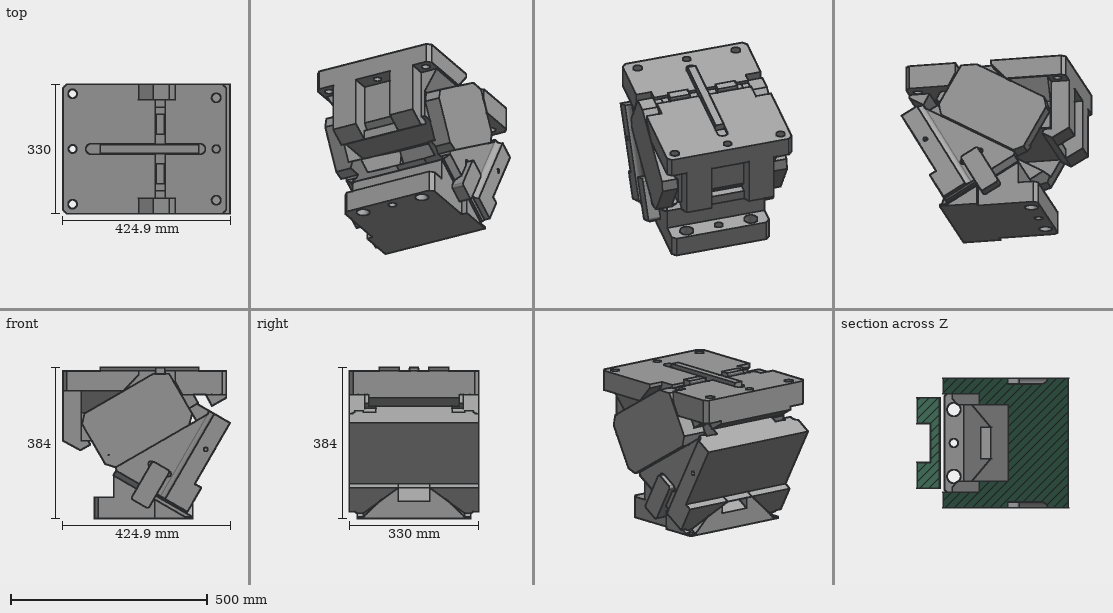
import cadquery as cq
import math

SLANT = math.radians(30)
COS = math.cos(SLANT)
SIN = math.sin(SLANT)
HALF_WIDTH = 330.0 / 2
REACH = 849.2
TIP = (133.8, 0, 130.0)

RISING = cq.Plane(origin=TIP, xDir=(COS, 0, SIN), normal=(0, -1, 0))
FALLING = cq.Plane(origin=TIP, xDir=(COS, 0, -SIN), normal=(0, -1, 0))
FALLING_SECTION = cq.Plane(origin=TIP, xDir=(0, 1, 0), normal=(COS, 0, -SIN))

PLATE_LENGTH = 415.0
PLATE_TOP = 375.0
LEFT_BOTTOM = 324.0
RIGHT_BOTTOM = 314.5
CORNER_CHAMFER = 10.0
NOTCH_LEFT = 192.5
NOTCH_RIGHT = 285.0
LEFT_SLOPE_START = 153.3
LEFT_SLOPE_TOP = 365.0
RIGHT_SLOPE_START = 303.0
RIGHT_SLOPE_TOP = 348.0
WEB_HALF = 125.0
WEB_LEFT = 46.3
WEB_BOTTOM = 197.5
WEB_END = 263.5
FLARE_HALF = 159.2
FLARE_BOTTOM = 268.5
LEG_INNER = 49.3
LEG_OUTER = 115.0
LEG_POINT = (44.0, 173.2)
LEG_HEEL = (70.0, 187.5)
LEG_BACK = 65.0
BEVEL_RUN = 21.2
BEVEL_TOP = 221.0
HOOK_LEFT = 362.5
HOOK_POINT = (378.5, 285.8)
HOOK_RIGHT_BOTTOM = 306.5
SLOT_X = 247.0
SLOT_WIDTH = 26.5
SLOT_DEPTH = 7.2
SLOT_END_HALF = 106.0
SLOT_END_DEPTH = 8.0
LONG_SLOT_LEFT = 58.0
LONG_SLOT_RIGHT = 361.8
KEY_TOP = 384.0
KEY_WIDTH = 23.8
KEY_BEVEL = 4.2
KEY_BEVEL_RUN = 1.3
LONG_KEY_LEFT = 94.5
LONG_KEY_RIGHT = 345.0
CROSS_KEY_LENGTH = 52.0
CROSS_KEY_Y = 63.0
LEFT_HOLES = ((140.0, 22.0), (0, 20.0), (-140.0, 22.0))
LEFT_HOLE_X = 24.5
RIGHT_HOLES = ((130.0, 23.0), (0, 20.0), (-130.0, 23.0))
RIGHT_HOLE_X = 389.5
PLATE_HOLE_DEPTH = PLATE_TOP - RIGHT_BOTTOM

CHEEK_HEIGHT = 158.0
CHEEK_LEFT = -18.5
CHEEK_RIGHT = 236.5
CHEEK_CHAMFER = 20.5
CHEEK_TOP_RUN = 35.0
FLANGE_INNER = 97.0
FLANGE_HEIGHT = 36.5
SLIDE_HALF = 150.5
SLIDE_TOP = 243.5
MOUNT_FACE = 195.5
FOOT_FACE = 214.5
FOOT_TOP = 64.5
BLOCK_LEFT = 149.0
BLOCK_BOTTOM = -6.5
TIP_CUT = 5.0
SKIRT_BOTTOM = -20.5
SKIRT_BEVEL_RUN = 16.0
SIDE_HOLE = (175.5, 154.0)
SIDE_HOLE_DIAMETER = 10.0
SIDE_HOLE_DEPTH = 17.0
RETAINER_WIDTH = 51.0
RETAINER_LENGTH = 110.5
RETAINER_CENTRE = (99.0, 6.0)
RETAINER_INNER = 133.5
RETAINER_FILLET = 6.5
RELIEF_RADIUS = 7.0
RELIEF_DROP = 8.5
RELIEF_DEPTH = 12.7

DRIVER_HALF = 129.0
DRIVER_LEFT = 80.0
DRIVER_RIGHT = 330.0
LEDGE_TOP = 54.5
LEDGE_RIGHT = 128.5
DRIVER_CUT = -15.3
EAVE = -11.0
RIDGE_HALF = 40.0
ROOF_ANGLE = math.radians(40)
RIDGE = EAVE + (DRIVER_HALF - RIDGE_HALF) * math.tan(ROOF_ANGLE)
GROOVE_FLOOR = 23.5
WING_HALF = 144.5
WING_LEFT = 233.5
WING_TOP = 48.5
TOE_HEIGHT = 4.2
BOLT_Y = 85.0
BOLT_X = 104.0
BOLT_DIAMETER = 34.0
DOWEL_DIAMETER = 21.2


def prism(plane, points, y_from, y_to):
    """Outline drawn in a plane facing -Y, filled from y_from to y_to."""
    return cq.Workplane(plane).workplane(offset=-y_to).polyline(points).close().extrude(y_to - y_from)


def both_sides(plane, points, inner, outer):
    """The same prism on the -Y and +Y sides."""
    return prism(plane, points, inner, outer).union(prism(plane, points, -outer, -inner))


def upper_half(plane, level):
    """Everything above a level of one of the slanted frames."""
    points = [(-REACH, level), (REACH, level), (REACH, REACH), (-REACH, REACH)]
    return prism(plane, points, -REACH, REACH)


def lower_half(plane, level):
    """Everything below a level of one of the slanted frames."""
    points = [(-REACH, level), (REACH, level), (REACH, -REACH), (-REACH, -REACH)]
    return prism(plane, points, -REACH, REACH)


def make_plate():
    """Left and right plate parts with the gap for the slide between them."""
    left = [
        (0, LEFT_BOTTOM), (LEFT_SLOPE_START, LEFT_BOTTOM), (NOTCH_LEFT, LEFT_SLOPE_TOP),
        (NOTCH_LEFT, PLATE_TOP), (0, PLATE_TOP),
    ]
    right = [
        (NOTCH_RIGHT, PLATE_TOP), (NOTCH_RIGHT, RIGHT_SLOPE_TOP), (RIGHT_SLOPE_START, RIGHT_BOTTOM),
        (PLATE_LENGTH, RIGHT_BOTTOM), (PLATE_LENGTH, PLATE_TOP),
    ]
    left_part = prism("XZ", left, -HALF_WIDTH, HALF_WIDTH).edges("|Z and <X").chamfer(CORNER_CHAMFER)
    right_part = prism("XZ", right, -HALF_WIDTH, HALF_WIDTH).edges("|Z and >X").chamfer(CORNER_CHAMFER)
    return left_part.union(right_part)


def make_web():
    """Web that carries the plate and rests on the ledges of the slide."""
    outline = [
        (WEB_LEFT, WEB_BOTTOM), (PLATE_LENGTH, WEB_BOTTOM),
        (PLATE_LENGTH, PLATE_TOP), (WEB_LEFT, PLATE_TOP),
    ]
    end = [(-REACH, FLANGE_HEIGHT), (WEB_END, FLANGE_HEIGHT), (WEB_END, REACH), (-REACH, REACH)]
    web = prism("XZ", outline, -WEB_HALF, WEB_HALF)
    return web.intersect(prism(RISING, end, -REACH, REACH))


def make_flares():
    """Sloping gussets from the plate down to the web, clear of the cheeks."""
    section = [
        (-FLARE_HALF, LEFT_BOTTOM), (-WEB_HALF, FLARE_BOTTOM),
        (WEB_HALF, FLARE_BOTTOM), (FLARE_HALF, LEFT_BOTTOM),
    ]
    start = cq.Workplane("YZ").workplane(offset=WEB_LEFT)
    flares = start.polyline(section).close().extrude(LEFT_SLOPE_START - WEB_LEFT)
    return flares.intersect(upper_half(RISING, CHEEK_HEIGHT))


def make_legs():
    """Two pointed legs under the left end of the plate."""
    leg = [
        (0, LEFT_BOTTOM), (0, WEB_BOTTOM), LEG_POINT, LEG_HEEL,
        (LEG_BACK, WEB_BOTTOM), (LEG_BACK, LEFT_BOTTOM),
    ]
    return both_sides("XZ", leg, LEG_INNER, LEG_OUTER)


def make_bridge():
    """Low bar that joins the two legs."""
    bridge = [(LEG_POINT[0], WEB_BOTTOM), LEG_POINT, LEG_HEEL, (LEG_BACK, WEB_BOTTOM)]
    return prism("XZ", bridge, -LEG_OUTER, LEG_OUTER)


def make_undercut():
    """Bevel along the lower front edge of the web, between the legs."""
    bevel = [(WEB_LEFT, BEVEL_TOP), (WEB_LEFT, WEB_BOTTOM), (WEB_LEFT + BEVEL_RUN, WEB_BOTTOM)]
    return prism("XZ", bevel, -LEG_INNER, LEG_INNER)


def make_hook():
    """Pointed stop under the right end of the plate."""
    hook = [
        (HOOK_LEFT, RIGHT_BOTTOM), HOOK_POINT,
        (PLATE_LENGTH, HOOK_RIGHT_BOTTOM), (PLATE_LENGTH, RIGHT_BOTTOM),
    ]
    return prism("XZ", hook, -LEG_OUTER, LEG_OUTER)


def make_key(length_x, length_y, bottom):
    """Bar with its long top edges bevelled, centred on the Z axis."""
    key = cq.Workplane("XY").workplane(offset=bottom).rect(length_x, length_y).extrude(KEY_TOP - bottom)
    long_edges = "|X" if length_x > length_y else "|Y"
    return key.faces(">Z").edges(long_edges).chamfer(KEY_BEVEL, KEY_BEVEL_RUN)


def make_key_slots():
    """Crossed key slots in the plate top; the cross slot deepens near its ends."""
    top = cq.Workplane("XY").workplane(offset=PLATE_TOP)
    slots = top.center(SLOT_X, 0).rect(SLOT_WIDTH, 2 * HALF_WIDTH).extrude(-SLOT_DEPTH)
    end_length = WEB_HALF - SLOT_END_HALF
    for side in (-1, 1):
        end_y = side * (SLOT_END_HALF + end_length / 2)
        slots = slots.union(top.center(SLOT_X, end_y).rect(SLOT_WIDTH, end_length).extrude(-SLOT_END_DEPTH))
    middle = (LONG_SLOT_LEFT + LONG_SLOT_RIGHT) / 2
    long_slot = top.center(middle, 0).slot2D(LONG_SLOT_RIGHT - LONG_SLOT_LEFT, SLOT_WIDTH)
    return slots.union(long_slot.extrude(-SLOT_DEPTH))


def make_keys():
    """One long key along X and two short keys along Y, standing on the slot floor."""
    slot_floor = PLATE_TOP - SLOT_DEPTH
    long_key = make_key(LONG_KEY_RIGHT - LONG_KEY_LEFT, KEY_WIDTH, slot_floor)
    keys = long_key.translate(((LONG_KEY_LEFT + LONG_KEY_RIGHT) / 2, 0, 0))
    for side in (-1, 1):
        cross_key = make_key(KEY_WIDTH, CROSS_KEY_LENGTH, slot_floor)
        keys = keys.union(cross_key.translate((SLOT_X, side * CROSS_KEY_Y, 0)))
    return keys


def make_plate_holes():
    """Three holes along each end of the plate."""
    top = cq.Workplane("XY").workplane(offset=PLATE_TOP)
    cutters = cq.Workplane("XY")
    for hole_x, holes in ((LEFT_HOLE_X, LEFT_HOLES), (RIGHT_HOLE_X, RIGHT_HOLES)):
        for hole_y, diameter in holes:
            cutters = cutters.add(top.center(hole_x, hole_y).circle(diameter / 2).extrude(-PLATE_HOLE_DEPTH))
    return cutters.combine()


def make_holder():
    body = make_plate().union(make_web()).union(make_flares()).cut(make_undercut())
    body = body.union(make_legs()).union(make_bridge()).union(make_hook())
    return body.cut(make_key_slots()).union(make_keys()).cut(make_plate_holes())


def along_slope(section):
    """Cross-section of the falling frame swept along the whole slope."""
    start = cq.Workplane(FALLING_SECTION).workplane(offset=-REACH)
    return start.polyline(section).close().extrude(2 * REACH)


def make_roof():
    """V roof with a flat ridge and straight walls under the eaves."""
    section = [
        (-DRIVER_HALF, -REACH), (DRIVER_HALF, -REACH), (DRIVER_HALF, EAVE), (RIDGE_HALF, RIDGE),
        (-RIDGE_HALF, RIDGE), (-DRIVER_HALF, EAVE),
    ]
    return along_slope(section)


def make_driver():
    """Base with a bolting ledge, V roof, ridge groove and low side wings."""
    outline = [
        (DRIVER_LEFT, 0), (DRIVER_RIGHT, 0), (DRIVER_RIGHT, PLATE_TOP),
        (LEDGE_RIGHT, PLATE_TOP), (LEDGE_RIGHT, LEDGE_TOP), (DRIVER_LEFT, LEDGE_TOP),
    ]
    driver = prism("XZ", outline, -DRIVER_HALF, DRIVER_HALF).edges("|Z and <X").chamfer(CORNER_CHAMFER)
    driver = driver.intersect(make_roof()).intersect(lower_half(RISING, DRIVER_CUT))

    groove = [
        (-RIDGE_HALF, GROOVE_FLOOR), (RIDGE_HALF, GROOVE_FLOOR), (RIDGE_HALF, REACH), (-RIDGE_HALF, REACH),
    ]
    driver = driver.cut(along_slope(groove))

    toe_left = WING_LEFT + (WING_TOP - TOE_HEIGHT) / math.tan(SLANT)
    wing = [
        (WING_LEFT, 0), (DRIVER_RIGHT, 0), (DRIVER_RIGHT, TOE_HEIGHT), (toe_left, TOE_HEIGHT),
        (WING_LEFT, WING_TOP),
    ]
    driver = driver.union(prism("XZ", wing, -WING_HALF, WING_HALF))

    for hole_y, diameter in ((-BOLT_Y, BOLT_DIAMETER), (0, DOWEL_DIAMETER), (BOLT_Y, BOLT_DIAMETER)):
        driver = driver.cut(cq.Workplane("XY").center(BOLT_X, hole_y).circle(diameter / 2).extrude(LEDGE_TOP))
    return driver


def make_core():
    """Wedge between the rising and the falling direction, bevelled along its lower sides."""
    rise = math.tan(2 * SLANT)
    skirt_end = RETAINER_CENTRE[0]
    outline = [
        (TIP_CUT, SKIRT_BOTTOM), (TIP_CUT, -TIP_CUT), (0, 0), (SLIDE_TOP / rise, SLIDE_TOP),
        (MOUNT_FACE, SLIDE_TOP), (MOUNT_FACE, FOOT_TOP), (FOOT_FACE, FOOT_TOP), (FOOT_FACE, EAVE),
        (skirt_end, EAVE), (skirt_end, SKIRT_BOTTOM),
    ]
    core = prism(FALLING, outline, -SLIDE_HALF, SLIDE_HALF)
    inner = SLIDE_HALF - SKIRT_BEVEL_RUN
    section = [
        (-inner, SKIRT_BOTTOM), (inner, SKIRT_BOTTOM), (SLIDE_HALF, BLOCK_BOTTOM), (SLIDE_HALF, REACH),
        (-SLIDE_HALF, REACH), (-SLIDE_HALF, BLOCK_BOTTOM),
    ]
    return core.intersect(along_slope(section))


def make_block(side):
    """Thicker strip behind the mounting face, blended into the core by a hollow round."""
    radius = HALF_WIDTH - SLIDE_HALF
    outline = [
        (BLOCK_LEFT - radius, BLOCK_BOTTOM), (BLOCK_LEFT - radius, SLIDE_TOP), (MOUNT_FACE, SLIDE_TOP),
        (MOUNT_FACE, FOOT_TOP), (FOOT_FACE, FOOT_TOP), (FOOT_FACE, BLOCK_BOTTOM),
    ]
    low, high = sorted((side * DRIVER_HALF, side * HALF_WIDTH))
    block = prism(FALLING, outline, low, high)
    round_start = FALLING.toWorldCoords((BLOCK_LEFT - radius, -REACH, -side * HALF_WIDTH))
    across = cq.Plane(origin=round_start.toTuple(), xDir=(COS, 0, -SIN), normal=(SIN, 0, COS))
    return block.cut(cq.Workplane(across).circle(radius).extrude(2 * REACH))


def make_cheeks():
    """Chamfered guide plates on both sides of the holder web."""
    outline = [
        (0, 0), (CHEEK_LEFT, CHEEK_CHAMFER), (CHEEK_LEFT, CHEEK_HEIGHT - CHEEK_CHAMFER), (0, CHEEK_HEIGHT),
        (CHEEK_RIGHT - CHEEK_TOP_RUN, CHEEK_HEIGHT), (CHEEK_RIGHT, CHEEK_HEIGHT - CHEEK_CHAMFER),
        (CHEEK_RIGHT, CHEEK_CHAMFER), (CHEEK_RIGHT - CHEEK_CHAMFER, 0),
    ]
    return both_sides(RISING, outline, WEB_HALF, HALF_WIDTH)


def make_flanges():
    """Ledges along the inside of the cheeks, and a raised wall at the upper end of the slide."""
    outline = [
        (0, 0), (CHEEK_LEFT, CHEEK_CHAMFER), (CHEEK_LEFT, FLANGE_HEIGHT),
        (CHEEK_RIGHT, FLANGE_HEIGHT), (CHEEK_RIGHT, CHEEK_CHAMFER), (CHEEK_RIGHT - CHEEK_CHAMFER, 0),
    ]
    end_wall = [(CHEEK_RIGHT, 0), (CHEEK_RIGHT, FLANGE_HEIGHT), (REACH, FLANGE_HEIGHT), (REACH, 0)]
    flanges = both_sides(RISING, outline, FLANGE_INNER, WEB_HALF)
    flanges = flanges.union(prism(RISING, end_wall, -FLANGE_INNER, FLANGE_INNER))
    return flanges.intersect(lower_half(FALLING, SLIDE_TOP))


def side_plane(side, depth, outer):
    """Workplane in the falling frame from which an extrusion of depth fills up to |Y| = outer."""
    return cq.Workplane(FALLING).workplane(offset=-outer if side > 0 else outer - depth)


def make_retainer(side):
    """Clamp that reaches down past the eaves of the driver."""
    depth = HALF_WIDTH - RETAINER_INNER
    start = side_plane(side, depth, HALF_WIDTH).center(*RETAINER_CENTRE)
    clamp = start.rect(RETAINER_WIDTH, RETAINER_LENGTH)
    return clamp.extrude(depth).edges("|Y").fillet(RETAINER_FILLET)


def make_corner_reliefs(side):
    """Round reliefs at the upper corners of the retainer."""
    half = RETAINER_WIDTH / 2
    top = RETAINER_LENGTH / 2 - RELIEF_DROP
    start = side_plane(side, RELIEF_DEPTH, SLIDE_HALF).center(*RETAINER_CENTRE)
    return start.pushPoints([(-half, top), (half, top)]).circle(RELIEF_RADIUS).extrude(RELIEF_DEPTH)


def make_side_hole(side):
    """Blind hole in the outer face of the block."""
    start = side_plane(side, SIDE_HOLE_DEPTH, HALF_WIDTH).center(*SIDE_HOLE)
    return start.circle(SIDE_HOLE_DIAMETER / 2).extrude(SIDE_HOLE_DEPTH)


def make_slide():
    slide = make_core().union(make_cheeks()).union(make_flanges())
    for side in (-1, 1):
        slide = slide.union(make_block(side))
    slide = slide.cut(make_roof())
    for side in (-1, 1):
        slide = slide.cut(make_corner_reliefs(side)).union(make_retainer(side)).cut(make_side_hole(side))
    return slide


holder = make_holder()
driver = make_driver()
slide = make_slide()

result = cq.Compound.makeCompound([holder.val(), driver.val(), slide.val()])